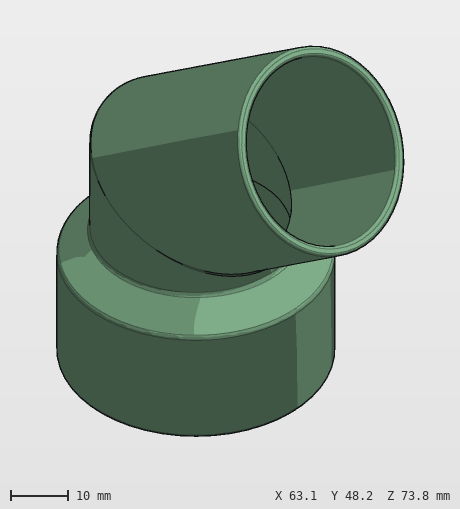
import cadquery as cq
import math

socket_diameter = 48.2
socket_bore = 44.6
pipe_diameter = 36.7
pipe_bore = 33.1
bend_angle = 55.0
socket_height = 22.0
cone_top = 27.0
miter_height = 38.9
branch_length = 35.0
edge_round = 0.5
shoulder_round = 1.1
miter_ease = 0.2

socket_radius = socket_diameter / 2
pipe_radius = pipe_diameter / 2
tilt = math.radians(bend_angle)
branch_axis = cq.Vector(math.sin(tilt), 0, math.cos(tilt))
meeting_point = cq.Vector(0, 0, miter_height)
branch_end = meeting_point + branch_axis * branch_length

miter_radius = pipe_radius / math.cos(tilt / 2)
ease_reach = 0.75
side_offset = 0.02
outer_side = 1

cutter_size = 4 * branch_length
miter_normal = (math.sin(tilt / 2), 0, math.cos(tilt / 2))
miter_plane = cq.Plane(origin=meeting_point.toTuple(), xDir=(0, 1, 0), normal=miter_normal)
above_miter = cq.Workplane(miter_plane).rect(cutter_size, cutter_size).extrude(cutter_size)


def reducer(large_radius, small_radius):
    """Solid socket, cone and upright pipe, cut off at the miter plane."""
    top = miter_height + pipe_diameter
    profile = [
        (0, 0),
        (large_radius, 0),
        (large_radius, socket_height),
        (small_radius, cone_top),
        (small_radius, top),
        (0, top),
    ]
    body = cq.Workplane("XZ").polyline(profile).close().revolve(360, (0, 0, 0), (0, 1, 0))
    return body.cut(above_miter)


def branch(radius):
    """Solid inclined pipe, from the miter plane to the branch end face."""
    end_plane = cq.Plane(origin=branch_end.toTuple(), xDir=(0, 1, 0), normal=branch_axis.toTuple())
    pipe = cq.Workplane(end_plane).circle(radius).extrude(-2 * branch_length)
    return pipe.intersect(above_miter)


def elbow(large_radius, small_radius):
    return reducer(large_radius, small_radius).union(branch(small_radius))


def corner_prism(side_radius, corner_radius, side):
    """Half elliptic prism across the miter plane, side +1 or -1 along the plane's local Y."""
    return (
        cq.Workplane(miter_plane)
        .ellipse(side_radius, corner_radius)
        .extrude(ease_reach, both=True)
        .intersect(corner_block(side))
    )


def corner_block(side):
    """Box around one half of the miter."""
    return (
        cq.Workplane(miter_plane)
        .center(0, side * pipe_diameter / 2)
        .rect(2 * pipe_diameter, pipe_diameter)
        .extrude(ease_reach, both=True)
    )


def ease_miter(body):
    """Flatten the outer corner and fill the inner one, both fading out at the sides."""
    outer_keep = corner_prism(pipe_radius + side_offset, miter_radius - miter_ease, outer_side)
    outer_waste = corner_block(outer_side).cut(outer_keep)
    inner_fill = corner_prism(pipe_radius - side_offset, miter_radius + miter_ease, -outer_side)
    return body.cut(outer_waste).union(inner_fill)


def circle_at(height):
    """Selector box around the horizontal edges at one height."""
    reach = socket_diameter
    height_margin = 0.4
    return cq.selectors.BoxSelector(
        (-reach, -reach, height - height_margin),
        (reach, reach, height + height_margin),
        boundingbox=True,
    )


outside = ease_miter(elbow(socket_radius, pipe_radius))
for height in (socket_height, cone_top):
    outside = outside.edges(circle_at(height)).fillet(shoulder_round)
hollow = outside.cut(elbow(socket_bore / 2, pipe_bore / 2))

socket_rim = hollow.faces("<Z").edges()
hollow = socket_rim.fillet(edge_round)
branch_rim = hollow.faces(cq.selectors.DirectionMinMaxSelector(branch_axis, True)).edges()
result = branch_rim.fillet(edge_round)